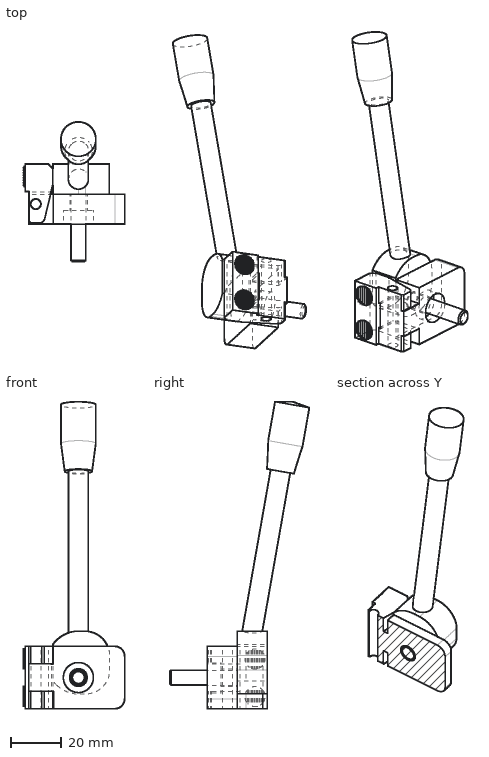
import cadquery as cq
import math


BODY_DEPTH = 12.0
BODY_HEIGHT = 25.0
BODY_LEFT = -10.0
BODY_RIGHT = 18.5
BODY_CORNER_RADIUS = 4.0
TONGUE_LEFT = -19.75
TONGUE_HEIGHT = 11.0

PIN_DIAMETER = 6.0
PIN_REACH = 15.0
PIN_CHAMFER = 0.6
PIN_HOLE_DIAMETER = 7.0
COUNTERBORE_DIAMETER = 12.0
COUNTERBORE_DEPTH = 5.5

HUB_DEPTH = 12.0
HUB_TOP = 18.5
HUB_LEFT_RADIUS = 12.5
HUB_FLAT_WIDTH = 2.7
HUB_RIGHT_RADIUS = 9.7
HUB_SIDE = -10.2

JAW_FRONT = 0.5
JAW_BACK = BODY_DEPTH + HUB_DEPTH
JAW_LEFT = -21.25
JAW_STEP_Y = 13.0
JAW_BACK_CHAMFER = 1.8
JAW_SLANT_START_Y = 15.5
JAW_SLANT_END = (-13.6, 1.6)
JAW_TOE_CHAMFER = 1.1
JAW_EDGE_CHAMFER = 0.75
HINGE_DIAMETER = 4.0
HINGE_X = -17.0
HINGE_Y = 8.0

PAD_DIAMETER = 8.0
PAD_Y = 19.0
PAD_SPACING = 15.0
PAD_TIP_X = -22.0
TOOTH_PITCH = 1.0
TOOTH_HEIGHT = 0.5
TOOTH_COUNT = 8

LEVER_TILT = 10.0
LEVER_DIAMETER = 8.0
LEVER_ROOT_Y = BODY_DEPTH + HUB_DEPTH / 2
LEVER_EMBED = 5.0
KNOB_DIAMETER = 14.0
KNOB_NECK_DIAMETER = 11.0
LEVER_LENGTH = 93.0
KNOB_CYLINDER_LENGTH = 15.7
KNOB_TAPER_LENGTH = 11.3
KNOB_CROWN = 1.25


def y_cylinder(diameter, y_start, y_end):
    """Cylinder on the pin axis between two Y positions."""
    plane = cq.Workplane("XZ", origin=(0, y_start, 0))
    return plane.circle(diameter / 2).extrude(y_start - y_end)


def make_body():
    block = (
        cq.Workplane("XY")
        .box(BODY_RIGHT - BODY_LEFT, BODY_DEPTH, BODY_HEIGHT, centered=(False, False, True))
        .translate((BODY_LEFT, 0, 0))
        .edges("|Y and >X")
        .fillet(BODY_CORNER_RADIUS)
    )
    tongue = (
        cq.Workplane("XY")
        .box(BODY_LEFT - TONGUE_LEFT, BODY_DEPTH, TONGUE_HEIGHT, centered=(False, False, True))
        .translate((TONGUE_LEFT, 0, 0))
    )
    counterbore = y_cylinder(COUNTERBORE_DIAMETER, 0, COUNTERBORE_DEPTH)
    pin_hole = y_cylinder(PIN_HOLE_DIAMETER, 0, BODY_DEPTH)
    return block.union(tongue).cut(counterbore).cut(pin_hole)


def make_hub():
    """Rounded cam with a flat left side and a short flat on top and bottom."""
    center_z = HUB_TOP - HUB_LEFT_RADIUS
    bottom = center_z - HUB_LEFT_RADIUS
    side_half = math.sqrt(HUB_LEFT_RADIUS**2 - HUB_SIDE**2)
    right = HUB_FLAT_WIDTH + HUB_RIGHT_RADIUS
    return (
        cq.Workplane("XZ", origin=(0, BODY_DEPTH, 0))
        .moveTo(HUB_SIDE, center_z + side_half)
        .radiusArc((0, HUB_TOP), HUB_LEFT_RADIUS)
        .lineTo(HUB_FLAT_WIDTH, HUB_TOP)
        .radiusArc((right, HUB_TOP - HUB_RIGHT_RADIUS), HUB_RIGHT_RADIUS)
        .lineTo(right, bottom + HUB_RIGHT_RADIUS)
        .radiusArc((HUB_FLAT_WIDTH, bottom), HUB_RIGHT_RADIUS)
        .lineTo(0, bottom)
        .radiusArc((HUB_SIDE, center_z - side_half), HUB_LEFT_RADIUS)
        .close()
        .extrude(-HUB_DEPTH)
    )


def make_pin():
    pin = y_cylinder(PIN_DIAMETER, -PIN_REACH, BODY_DEPTH)
    return pin.faces("<Y").chamfer(PIN_CHAMFER)


def make_jaw():
    """Prismatic jaw with a slot for the body tongue."""
    slant_x, slant_y = JAW_SLANT_END
    outline = [
        (JAW_LEFT, JAW_BACK),
        (HUB_SIDE - JAW_BACK_CHAMFER, JAW_BACK),
        (HUB_SIDE, JAW_BACK - JAW_BACK_CHAMFER),
        (HUB_SIDE, JAW_SLANT_START_Y),
        (slant_x, slant_y),
        (slant_x - JAW_TOE_CHAMFER, JAW_FRONT),
        (TONGUE_LEFT + JAW_EDGE_CHAMFER, JAW_FRONT),
        (TONGUE_LEFT, JAW_FRONT + JAW_EDGE_CHAMFER),
        (TONGUE_LEFT, JAW_STEP_Y),
        (JAW_LEFT, JAW_STEP_Y),
    ]
    jaw = (
        cq.Workplane("XY", origin=(0, 0, -BODY_HEIGHT / 2))
        .polyline(outline)
        .close()
        .extrude(BODY_HEIGHT)
    )
    slot = (
        cq.Workplane("XY")
        .box(HUB_SIDE - JAW_LEFT, JAW_STEP_Y, TONGUE_HEIGHT, centered=(False, False, True))
        .translate((JAW_LEFT, 0, 0))
    )
    return jaw.cut(slot)


def make_pad(z):
    """Round pad whose face carries vertical triangular teeth."""
    valley_x = PAD_TIP_X + TOOTH_HEIGHT
    first_y = PAD_Y - TOOTH_COUNT * TOOTH_PITCH / 2
    outline = [(JAW_LEFT, first_y), (valley_x, first_y)]
    for tooth in range(TOOTH_COUNT):
        start_y = first_y + tooth * TOOTH_PITCH
        outline.append((PAD_TIP_X, start_y + TOOTH_PITCH / 2))
        outline.append((valley_x, start_y + TOOTH_PITCH))
    outline.append((JAW_LEFT, first_y + TOOTH_COUNT * TOOTH_PITCH))
    teeth = (
        cq.Workplane("XY", origin=(0, 0, z - PAD_DIAMETER / 2))
        .polyline(outline)
        .close()
        .extrude(PAD_DIAMETER)
    )
    disc = (
        cq.Workplane("YZ", origin=(PAD_TIP_X, PAD_Y, z))
        .circle(PAD_DIAMETER / 2)
        .extrude(JAW_LEFT - PAD_TIP_X)
    )
    return teeth.intersect(disc)


def make_lever():
    """Rod and knob turned as one piece, then tilted about the lever root."""
    shoulder = LEVER_LENGTH - KNOB_CROWN
    taper_top = shoulder - KNOB_CYLINDER_LENGTH
    neck = taper_top - KNOB_TAPER_LENGTH
    profile = [
        (0, -LEVER_EMBED),
        (LEVER_DIAMETER / 2, -LEVER_EMBED),
        (LEVER_DIAMETER / 2, neck),
        (KNOB_NECK_DIAMETER / 2, neck),
        (KNOB_DIAMETER / 2, taper_top),
        (KNOB_DIAMETER / 2, shoulder),
        (0, LEVER_LENGTH),
    ]
    lever = cq.Workplane("XZ").polyline(profile).close().revolve(360, (0, 0, 0), (0, 1, 0))
    tilted = lever.rotate((0, 0, 0), (1, 0, 0), -LEVER_TILT)
    return tilted.translate((0, LEVER_ROOT_Y, HUB_TOP))


def make_hinge_hole():
    return (
        cq.Workplane("XY", origin=(HINGE_X, HINGE_Y, -BODY_HEIGHT / 2))
        .circle(HINGE_DIAMETER / 2)
        .extrude(BODY_HEIGHT)
    )


result = make_body().union(make_jaw()).cut(make_hinge_hole())
result = result.union(make_hub()).union(make_pin()).union(make_lever())
for pad_z in (-PAD_SPACING / 2, PAD_SPACING / 2):
    result = result.union(make_pad(pad_z))